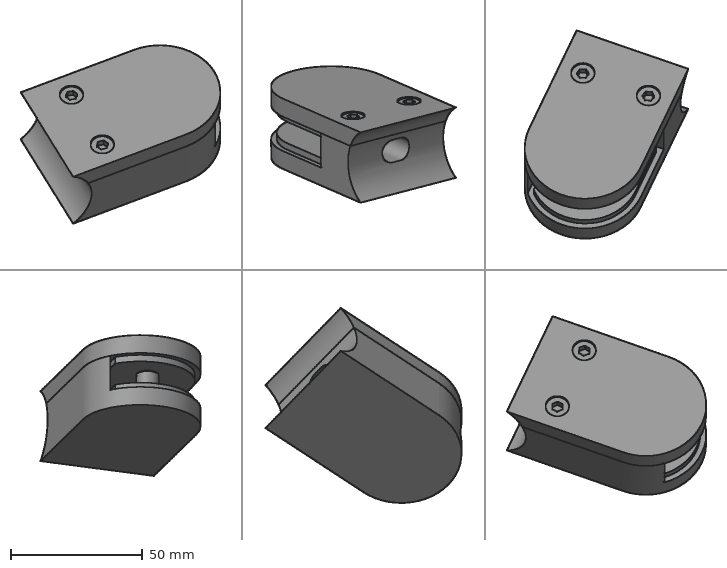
import cadquery as cq
import math

length = 70.85
width = 46.0
height = 28.5
plate_thickness = 7.3
wall_thickness = 5.45
block_front = 24.65
saddle_depth = 7.9
slot_width = 13.0
slot_height = 9.15
pad_thickness = 2.6
pad_clearance = 2.2
pin_diameter = 8.6
pin_shoulder_length = 7.8
spigot_diameter = 7.4
pin_y = 55.9
screw_diameter = 9.0
screw_recess = 0.35
screw_length = 10.6
screw_edge_radius = 0.6
screw_spacing = 27.0
screw_y = 16.95
hex_across_flats = 4.0
hex_depth = 2.5
left_hex_turn = 16.0
right_hex_turn = 22.0

end_radius = width / 2
end_center_y = length - end_radius
half_height = height / 2
gap_half = half_height - plate_thickness
gap_height = 2 * gap_half
wall_inner_x = end_radius - wall_thickness
saddle_radius = (half_height**2 + saddle_depth**2) / (2 * saddle_depth)
saddle_center_y = saddle_depth - saddle_radius
pad_radius = end_radius - pad_clearance
pad_start_y = block_front + pad_clearance
pad_wall_x = wall_inner_x - pad_clearance
hex_across_corners = hex_across_flats / math.cos(math.radians(30))
left_screw_x = -screw_spacing / 2
right_screw_x = screw_spacing / 2


def rounded_plate(start_y, radius, bottom_z, thickness):
    """Flat plate from start_y to a full-round end about the common end centre."""
    return (
        cq.Workplane("XY", origin=(0, 0, bottom_z))
        .moveTo(-radius, start_y)
        .lineTo(radius, start_y)
        .lineTo(radius, end_center_y)
        .threePointArc((0, end_center_y + radius), (-radius, end_center_y))
        .close()
        .extrude(thickness)
    )


def cylinder(x, y, bottom_z, diameter, cylinder_height):
    """Upright cylinder."""
    return cq.Workplane("XY", origin=(x, y, bottom_z)).circle(diameter / 2).extrude(cylinder_height)


def cut_saddle(body):
    """Hollow the -Y end with a cylinder along X, to sit on a round post."""
    saddle = (
        cq.Workplane("YZ", origin=(-end_radius, 0, 0))
        .center(saddle_center_y, 0)
        .circle(saddle_radius)
        .extrude(width)
    )
    return body.cut(saddle)


def cut_screw_holes(body):
    """Cut the screw holes, which open at the top and end at the screw tips."""
    hole_depth = screw_recess + screw_length
    for x in (left_screw_x, right_screw_x):
        body = body.cut(cylinder(x, screw_y, half_height - hole_depth, screw_diameter, hole_depth))
    return body


def make_base():
    """Lower plate with the saddle block and the +X side wall, both reaching up to the cover."""
    base = rounded_plate(0, end_radius, -half_height, height - plate_thickness)
    gap = cq.Workplane("XY").box(width, length, gap_height).translate(
        (wall_inner_x - width / 2, block_front + length / 2, 0)
    )
    slot = cq.Workplane("XZ").slot2D(slot_width, slot_height).extrude(-block_front)
    return cut_screw_holes(cut_saddle(base.cut(gap).cut(slot)))


def make_cover():
    """Upper plate, held on the base by the screws."""
    cover = rounded_plate(0, end_radius, gap_half, plate_thickness)
    return cut_screw_holes(cut_saddle(cover))


def make_pad(bottom_z):
    """Lining pad set back from the outline, block and side wall, with a hole for the pin's spigot."""
    pad = rounded_plate(pad_start_y, pad_radius, bottom_z, pad_thickness)
    wall_side = cq.Workplane("XY").box(width, length, height).translate(
        (pad_wall_x + width / 2, pad_start_y + length / 2, bottom_z)
    )
    spigot_hole = cylinder(0, pin_y, bottom_z, spigot_diameter, pad_thickness)
    return pad.cut(wall_side).cut(spigot_hole)


def make_pin():
    """Safety pin across the gap; its narrower spigots pass through both pads to the plates."""
    spigots = cylinder(0, pin_y, -gap_half, spigot_diameter, gap_height)
    shank = cylinder(0, pin_y, -pin_shoulder_length / 2, pin_diameter, pin_shoulder_length)
    return spigots.union(shank)


def make_screw(x, hex_turn):
    """Screw sunk just below the top, with a rounded rim and a hexagon socket."""
    screw_top = half_height - screw_recess
    screw = (
        cylinder(x, screw_y, screw_top - screw_length, screw_diameter, screw_length)
        .faces(">Z")
        .edges()
        .fillet(screw_edge_radius)
    )
    socket = (
        cq.Workplane("XY")
        .polygon(6, hex_across_corners)
        .extrude(hex_depth)
        .rotate((0, 0, 0), (0, 0, 1), hex_turn)
        .translate((x, screw_y, screw_top - hex_depth))
    )
    return screw.cut(socket)


base = make_base()
cover = make_cover()
pin = make_pin()
pads = [make_pad(bottom_z) for bottom_z in (-gap_half, gap_half - pad_thickness)]
screws = [make_screw(x, turn) for x, turn in ((left_screw_x, left_hex_turn), (right_screw_x, right_hex_turn))]

result = cq.Compound.makeCompound(
    [
        base.val(),
        cover.val(),
        pin.val(),
        *[pad.val() for pad in pads],
        *[screw.val() for screw in screws],
    ]
)